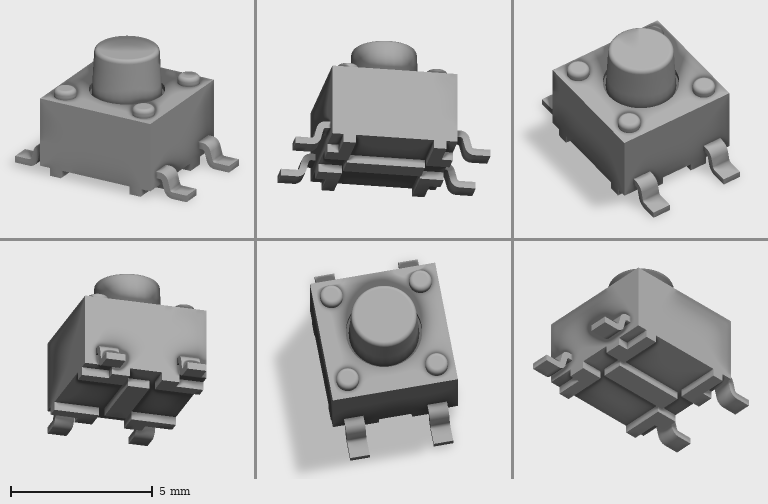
import cadquery as cq
import math


span = 7.0
side = 4.5
total_height = 4.5
cover_thickness = 0.2
cover_top = 2.9
housing_top = cover_top - cover_thickness

relief_depth = 0.3
wide_channel = 2.8
narrow_channel = 1.2
corner_notch_x = 0.4
corner_notch_y = 1.0
rib_width = 0.8

lead_width = 0.7
lead_thickness = 0.25
lead_spacing = 3.0
lead_top = 0.91
foot_length = 0.575
inner_bend = 0.1
bend_angle = 75.0

button_hole_diameter = 2.7
stud_diameter = 0.8
stud_height = 0.3
stud_spacing = 3.2
stud_round = 0.15

button_base_diameter = 2.5
button_taper = 3.0
button_round = 0.15


def box(x_size, y_size, z_size, x=0.0, y=0.0, z=0.0):
    """Box centred on (x, y) with its bottom at z."""
    return cq.Workplane("XY").box(x_size, y_size, z_size, centered=(True, True, False)).translate((x, y, z))


def square_pattern(spacing):
    """Corners of a square centred on the Z axis."""
    half = spacing / 2
    return [(x, y) for x in (-half, half) for y in (-half, half)]


def make_lead():
    """Gull-wing lead on the +X side, centred on Y = 0, ending at the housing wall."""
    slope = math.radians(bend_angle)
    outer_bend = inner_bend + lead_thickness
    foot_bend_x = span / 2 - foot_length
    bend_run = (inner_bend + outer_bend) * math.sin(slope)
    bend_rise = (inner_bend + outer_bend) * (1 - math.cos(slope))
    straight_rise = lead_top - lead_thickness - bend_rise
    shoulder_bend_x = foot_bend_x - bend_run - straight_rise / math.tan(slope)
    foot_center_z = lead_thickness + inner_bend
    shoulder_center_z = lead_top - outer_bend

    def foot_bend(radius, angle):
        return (foot_bend_x - radius * math.sin(angle), foot_center_z - radius * math.cos(angle))

    def shoulder_bend(radius, angle):
        return (shoulder_bend_x + radius * math.sin(angle), shoulder_center_z + radius * math.cos(angle))

    profile = (
        cq.Workplane("XZ")
        .moveTo(span / 2, 0)
        .lineTo(*foot_bend(outer_bend, 0))
        .threePointArc(foot_bend(outer_bend, slope / 2), foot_bend(outer_bend, slope))
        .lineTo(*shoulder_bend(inner_bend, slope))
        .threePointArc(shoulder_bend(inner_bend, slope / 2), shoulder_bend(inner_bend, 0))
        .lineTo(side / 2, lead_top - lead_thickness)
        .lineTo(side / 2, lead_top)
        .lineTo(*shoulder_bend(outer_bend, 0))
        .threePointArc(shoulder_bend(outer_bend, slope / 2), shoulder_bend(outer_bend, slope))
        .lineTo(*foot_bend(inner_bend, slope))
        .threePointArc(foot_bend(inner_bend, slope / 2), foot_bend(inner_bend, 0))
        .lineTo(span / 2, lead_thickness)
        .close()
    )
    return profile.extrude(lead_width / 2, both=True)


def make_housing():
    """Block with a relieved underside and a lead near each corner."""
    body = box(side, side, housing_top)

    body = body.cut(box(wide_channel, side, relief_depth))
    body = body.cut(box(side, narrow_channel, relief_depth))
    for x_sign in (-1, 1):
        for y_sign in (-1, 1):
            notch_x = x_sign * (side - corner_notch_x) / 2
            notch_y = y_sign * (side - corner_notch_y) / 2
            body = body.cut(box(corner_notch_x, corner_notch_y, relief_depth, notch_x, notch_y))

    body = body.union(box(wide_channel, rib_width, relief_depth))

    right_lead = make_lead()
    left_lead = right_lead.mirror("YZ")
    for y in (-lead_spacing / 2, lead_spacing / 2):
        for lead in (left_lead, right_lead):
            body = body.union(lead.translate((0, y, 0)))
    return body


def make_cover():
    """Square plate with a round opening for the button and four rounded studs."""
    plate = box(side, side, cover_thickness, z=housing_top)
    opening = (
        cq.Workplane("XY", origin=(0, 0, housing_top))
        .circle(button_hole_diameter / 2)
        .extrude(cover_thickness)
    )
    studs = (
        cq.Workplane("XY", origin=(0, 0, cover_top))
        .pushPoints(square_pattern(stud_spacing))
        .circle(stud_diameter / 2)
        .extrude(stud_height)
        .faces(">Z")
        .edges()
        .fillet(stud_round)
    )
    return plate.cut(opening).union(studs)


def make_button():
    """Tapered round button with a rounded top rim."""
    return (
        cq.Workplane("XY", origin=(0, 0, housing_top))
        .circle(button_base_diameter / 2)
        .extrude(total_height - housing_top, taper=button_taper)
        .faces(">Z")
        .edges()
        .fillet(button_round)
    )


housing = make_housing()
cover = make_cover()
button = make_button()

result = cq.Compound.makeCompound([housing.val(), cover.val(), button.val()])